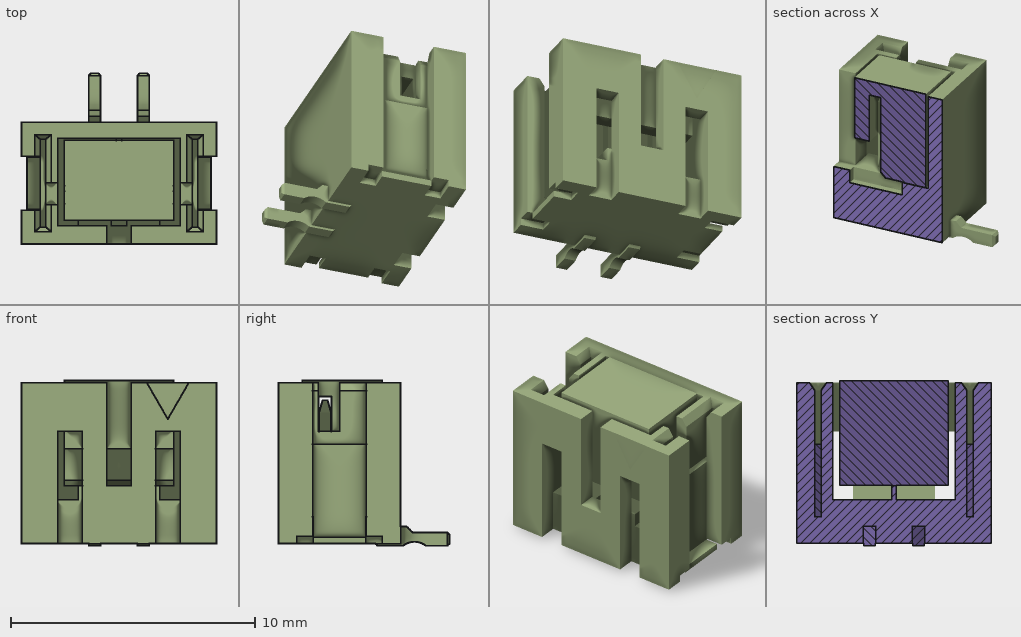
import cadquery as cq
import math


LENGTH, DEPTH, HEIGHT = 8.0, 5.0, 6.6
BACK = DEPTH / 2
FRONT = -DEPTH / 2
BACK_WALL, FRONT_WALL = 0.65, 0.76
CAVITY_LENGTH = 5.0
CAVITY_FRONT, CAVITY_BACK = FRONT + FRONT_WALL, BACK - BACK_WALL
CAVITY_FLOOR = 1.8
PLINTH_LENGTH, PLINTH_TOP = 3.36, 2.38
PLINTH_REAR_GAP = 0.13
PLINTH_RIB = 0.22
PIT_WIDTH, PIT_FRONT, PIT_REACH = 0.62, -1.74, 2.4
FRONT_SLOT = 1.0
SIDE_SLOT_HEIGHT = 4.6
SIDE_SLOT_X = (CAVITY_LENGTH - FRONT_SLOT) / 2
MARK_X, MARK_WIDTH, MARK_TIP_Z, MARK_DEPTH = 2.0, 1.73, 5.1, 0.01

END_RECESS_WIDTH, END_WALL_X = 2.2, 3.0
END_NOTCH_FRONT, END_NOTCH_BACK, END_NOTCH_Z = -0.88, 0.02, 4.6
FOOT_NOTCH_WIDTH, FOOT_NOTCH_HEIGHT = 3.5, 0.3
LEAD_IN_X, LEAD_IN_Y, LEAD_IN_DEPTH = 0.22, 0.19, 0.33

TAB_THICKNESS, TAB_WIDTH = 0.23, 3.6
TAB_SHOULDER_Z, TAB_TOP = 1.1, 4.08
TAB_FOOT_WIDTH, TAB_FOOT_HEIGHT, TAB_FOOT_TIP_X = 2.14, 0.26, 3.78

PIN_PITCH, PIN_WIDTH = 2.0, 0.5
POST_Y, POST_SHOULDER_Z, POST_TOP, POST_TAPER = -0.59, 5.38, 5.88, 0.14
LEG_BOTTOM, LEG_TOP, LEG_ROOT_TOP = -0.1, 0.46, 0.71
LEG_TIP_Y = BACK + 2.01
LEG_SLOPE_Y = 2.74
LEG_END_Y = 1.57
ARCH_Y, ARCH_HALF_WIDTH, ARCH_RISE = 3.07, 0.47, 0.17
LEG_TIP_CHAMFER = 0.1

CAP_LENGTH, CAP_FRONT, CAP_BACK = 4.48, -1.53, 1.76
CAP_TOP = HEIGHT + 0.09
CAP_APRON_BOTTOM = 3.9
TUNNEL_FRONT, TUNNEL_BACK, TUNNEL_TOP = -0.85, -0.33, 6.02
CAP_LEG_CHAMFER = 0.22


def block(x, y, z):
    """Box given by its (start, end) along each axis."""
    size = [end - start for start, end in (x, y, z)]
    return cq.Workplane("XY").box(*size, centered=False).translate((x[0], y[0], z[0]))


def centred(width):
    return (-width / 2, width / 2)


def make_pin(x):
    """Bent pin: an upright post with a pointed top and a leg running out at the back."""
    post_front = POST_Y - PIN_WIDTH / 2
    post_back = POST_Y + PIN_WIDTH / 2
    profile = (
        cq.Workplane("YZ")
        .moveTo(post_front, POST_SHOULDER_Z)
        .lineTo(post_front, 0)
        .lineTo(LEG_END_Y + LEG_BOTTOM, 0)
        .lineTo(LEG_END_Y, LEG_BOTTOM)
        .lineTo(ARCH_Y - ARCH_HALF_WIDTH, LEG_BOTTOM)
        .threePointArc((ARCH_Y, LEG_BOTTOM + ARCH_RISE), (ARCH_Y + ARCH_HALF_WIDTH, LEG_BOTTOM))
        .lineTo(LEG_TIP_Y, LEG_BOTTOM)
        .lineTo(LEG_TIP_Y, LEG_TOP)
        .lineTo(LEG_SLOPE_Y + LEG_ROOT_TOP - LEG_TOP, LEG_TOP)
        .lineTo(LEG_SLOPE_Y, LEG_ROOT_TOP)
        .lineTo(post_back, LEG_ROOT_TOP)
        .lineTo(post_back, POST_SHOULDER_Z)
        .close()
    )
    pin = profile.extrude(PIN_WIDTH / 2, both=True).faces(">Y").chamfer(LEG_TIP_CHAMFER)
    tip_height = POST_TOP - POST_SHOULDER_Z
    point = (
        cq.Workplane("XY", origin=(0, POST_Y, POST_SHOULDER_Z))
        .rect(PIN_WIDTH, PIN_WIDTH)
        .extrude(tip_height, taper=math.degrees(math.atan(POST_TAPER / tip_height)))
    )
    return pin.union(point).translate((x, 0, 0))


def make_tab(side):
    """Solder tab: a wide plate, a narrower neck and a foot bent outwards. side is -1 or +1."""
    plate_x = (END_WALL_X, END_WALL_X + TAB_THICKNESS)
    plate = block(plate_x, centred(TAB_WIDTH), (TAB_SHOULDER_Z, TAB_TOP))
    neck = block(plate_x, centred(TAB_FOOT_WIDTH), (0, TAB_SHOULDER_Z))
    foot = block((END_WALL_X, TAB_FOOT_TIP_X), centred(TAB_FOOT_WIDTH), (0, TAB_FOOT_HEIGHT))
    tab = plate.union(neck).union(foot)
    return tab if side > 0 else tab.mirror("YZ")


def make_cap():
    """Pick-up cap: a top plate with a short apron in front and a long leg behind the pins."""
    cap = block(centred(CAP_LENGTH), (CAP_FRONT, CAP_BACK), (PLINTH_TOP, CAP_TOP))
    cap = cap.cut(block(centred(CAP_LENGTH), (TUNNEL_FRONT, TUNNEL_BACK), (PLINTH_TOP, TUNNEL_TOP)))
    cap = cap.cut(block(centred(CAP_LENGTH), (CAP_FRONT, TUNNEL_FRONT), (PLINTH_TOP, CAP_APRON_BOTTOM)))
    return cap.faces("<Z").edges("<Y").chamfer(CAP_LEG_CHAMFER)


def make_cavity():
    """Space inside the housing, above the stepped floor and in its pit."""
    cavity = block(centred(CAVITY_LENGTH), (CAVITY_FRONT, CAVITY_BACK), (CAVITY_FLOOR, HEIGHT))
    floor_step = (CAVITY_FLOOR, PLINTH_TOP)
    plinth_back = CAVITY_BACK - PLINTH_REAR_GAP
    cavity = cavity.cut(block(centred(PLINTH_LENGTH), (CAVITY_FRONT, plinth_back), floor_step))
    cavity = cavity.cut(block(centred(PLINTH_RIB), (plinth_back, CAVITY_BACK), floor_step))
    pit = block(
        centred(PIT_WIDTH),
        (PIT_FRONT, PIT_FRONT + PIT_REACH),
        floor_step,
    )
    return cavity.union(pit)


def make_front_slots():
    """One slot open at the top and two open at the bottom, all through the front wall."""
    wall = (FRONT, CAVITY_FRONT)
    slots = block(centred(FRONT_SLOT), wall, (PLINTH_TOP, HEIGHT))
    side_slot = block(centred(FRONT_SLOT), wall, (0, SIDE_SLOT_HEIGHT))
    for x in (-SIDE_SLOT_X, SIDE_SLOT_X):
        slots = slots.union(side_slot.translate((x, 0, 0)))
    return slots


def make_mark():
    """Shallow triangular pin-one mark on the front face."""
    return (
        cq.Workplane("XZ", origin=(MARK_X, FRONT, 0))
        .polyline([(-MARK_WIDTH / 2, HEIGHT), (MARK_WIDTH / 2, HEIGHT), (0, MARK_TIP_Z)])
        .close()
        .extrude(-MARK_DEPTH)
    )


def make_end_cut():
    """Everything removed from the +X end of the housing."""
    end = LENGTH / 2
    recess = block((END_WALL_X, end), centred(END_RECESS_WIDTH), (0, HEIGHT))
    wall_notch = block(
        (CAVITY_LENGTH / 2, END_WALL_X), (END_NOTCH_FRONT, END_NOTCH_BACK), (END_NOTCH_Z, HEIGHT)
    )
    foot_notch = block((END_WALL_X, end), centred(FOOT_NOTCH_WIDTH), (0, FOOT_NOTCH_HEIGHT))
    tab_slot = block(
        (END_WALL_X, END_WALL_X + TAB_THICKNESS), centred(TAB_WIDTH), (TAB_SHOULDER_Z, HEIGHT)
    )
    lead_in = (
        cq.Workplane("XY", origin=(END_WALL_X + TAB_THICKNESS / 2, 0, HEIGHT - LEAD_IN_DEPTH))
        .rect(TAB_THICKNESS, TAB_WIDTH)
        .workplane(offset=LEAD_IN_DEPTH)
        .rect(TAB_THICKNESS + 2 * LEAD_IN_X, TAB_WIDTH + 2 * LEAD_IN_Y)
        .loft(ruled=True)
    )
    return recess.union(wall_notch).union(foot_notch).union(tab_slot).union(lead_in)


def make_housing(pins):
    """Moulded housing with a matching passage for each pin."""
    housing = block(centred(LENGTH), centred(DEPTH), (0, HEIGHT))
    end_cut = make_end_cut()
    for removed in (make_cavity(), make_front_slots(), make_mark(), end_cut, end_cut.mirror("YZ")):
        housing = housing.cut(removed)
    for pin in pins:
        housing = housing.cut(pin)
    return housing


pins = [make_pin(x) for x in (-PIN_PITCH / 2, PIN_PITCH / 2)]
tabs = [make_tab(side) for side in (-1, 1)]
cap = make_cap()
housing = make_housing(pins)

result = cq.Compound.makeCompound(
    [
        housing.val(),
        cap.val(),
        *[pin.val() for pin in pins],
        *[tab.val() for tab in tabs],
    ]
)